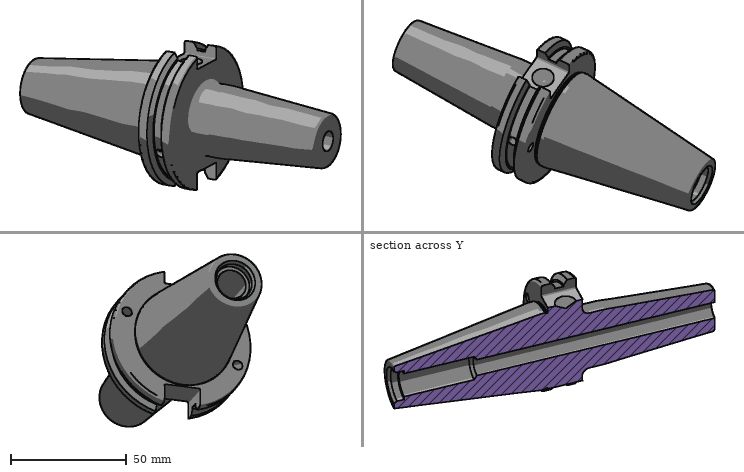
import cadquery as cq
import math

length = 148.2
taper_radius = 22.2
taper_slope = 7 / 48
taper_length = 67.9
taper_end_fillet = 0.7

land_end = 69.7
relief_radius = 21.8
relief_start = 70.5

flange_start = 71.0
flange_end = 87.2
flange_diameter = 63.3
flange_radius = flange_diameter / 2
flange_front_fillet = 1.2
flange_back_fillet = 0.9
groove_radius = 28.3
groove_start = 77.4
groove_end = 81.4
groove_wall_height = 0.9
groove_flare = 1.6

nose_radius = 16.0
nose_fillet = 3.3
nose_cone_start = 97.4
nose_cone_angle = 4.4
nose_end_fillet = 1.5

slot_width = 16.3
slot_corner_fillet = 0.7
upper_slot_floor = 24.8
lower_slot_floor = 22.4
dimple_diameter = 9.5
drill_tip_angle = 118.0

entry_diameter = 18.4
entry_depth = 1.5
counterbore_diameter = 16.3
counterbore_depth = 4.7
pilot_diameter = 13.0
pilot_depth = 37.0
through_diameter = 8.9

coolant_diameter = 4.0
coolant_angle = 20.0
coolant_entry_radius = 27.0
coolant_tilt = 26.0

taper_end_radius = taper_radius - taper_slope * taper_length
nose_end_radius = nose_radius - (length - nose_cone_start) * math.tan(math.radians(nose_cone_angle))
flange_middle = (flange_start + flange_end) / 2
groove_middle = (groove_start + groove_end) / 2
wall_top_radius = groove_radius + groove_wall_height
tip_slope = math.tan(math.radians(drill_tip_angle / 2))


def revolve_about_axis(profile):
    return profile.close().revolve(360, (0, 0, 0), (1, 0, 0))


def round_edge(body, x, radius, fillet):
    """Fillet the circular edge of the given radius in the plane at x."""
    margin = 0.01
    selector = cq.selectors.BoxSelector(
        (x - margin, -radius - margin, -radius - margin),
        (x + margin, radius + margin, radius + margin),
        boundingbox=True,
    )
    edges = body.edges(selector).edges(cq.selectors.RadiusNthSelector(-1))
    return body.newObject(edges.vals()).fillet(fillet)


def make_body():
    profile = (
        cq.Workplane("XY")
        .lineTo(0, taper_end_radius)
        .lineTo(taper_length, taper_radius)
        .lineTo(land_end, taper_radius)
        .lineTo(relief_start, relief_radius)
        .lineTo(flange_start, relief_radius)
        .lineTo(flange_start, flange_radius)
        .lineTo(groove_start - groove_flare, flange_radius)
        .lineTo(groove_start, wall_top_radius)
        .lineTo(groove_start, groove_radius)
        .lineTo(groove_end, groove_radius)
        .lineTo(groove_end, wall_top_radius)
        .lineTo(groove_end + groove_flare, flange_radius)
        .lineTo(flange_end, flange_radius)
        .lineTo(flange_end, nose_radius + nose_fillet)
        .radiusArc((flange_end + nose_fillet, nose_radius), -nose_fillet)
        .lineTo(nose_cone_start, nose_radius)
        .lineTo(length, nose_end_radius)
        .lineTo(length, 0)
    )
    body = revolve_about_axis(profile)
    body = round_edge(body, 0, taper_end_radius, taper_end_fillet)
    body = round_edge(body, flange_start, flange_radius, flange_front_fillet)
    body = round_edge(body, flange_end, flange_radius, flange_back_fillet)
    return round_edge(body, length, nose_end_radius, nose_end_fillet)


def make_bore():
    pilot_radius = pilot_diameter / 2
    through_radius = through_diameter / 2
    pilot_cone_length = (pilot_radius - through_radius) / tip_slope
    profile = (
        cq.Workplane("XY")
        .lineTo(0, entry_diameter / 2)
        .lineTo(entry_depth, counterbore_diameter / 2)
        .lineTo(counterbore_depth, counterbore_diameter / 2)
        .lineTo(counterbore_depth, pilot_radius)
        .lineTo(pilot_depth, pilot_radius)
        .lineTo(pilot_depth + pilot_cone_length, through_radius)
        .lineTo(length, through_radius)
        .lineTo(length, 0)
    )
    return revolve_about_axis(profile)


def make_slot(floor, side):
    """Drive slot across the flange; side is +1 above the axis and -1 below."""
    height = flange_radius - floor
    slot = cq.Workplane("XY").box(flange_end - flange_start, slot_width, height)
    floor_face = "<Z" if side > 0 else ">Z"
    slot = slot.faces(floor_face).edges("|X").fillet(slot_corner_fillet)
    return slot.translate((flange_middle, 0, side * (floor + height / 2)))


def make_dimple():
    """Conical drill point in the floor of the upper slot."""
    radius = dimple_diameter / 2
    cone = cq.Solid.makeCone(
        radius, 0, radius / tip_slope, cq.Vector(groove_middle, 0, upper_slot_floor), cq.Vector(0, 0, -1)
    )
    return cq.Workplane(cone)


def make_coolant_holes(turn):
    """Inclined hole from the flange face meeting a radial hole from the groove."""
    tilt = math.radians(coolant_tilt)
    run = groove_middle - flange_start
    meeting_radius = coolant_entry_radius - run * math.tan(tilt)
    overrun = coolant_diameter / 2
    direction = cq.Vector(math.cos(tilt), -math.sin(tilt), 0)
    start = cq.Vector(flange_start, coolant_entry_radius, 0) - direction * overrun
    radius = coolant_diameter / 2
    inclined = cq.Solid.makeCylinder(radius, run / math.cos(tilt) + overrun, start, direction)
    radial = cq.Solid.makeCylinder(
        radius,
        wall_top_radius - meeting_radius,
        cq.Vector(groove_middle, meeting_radius, 0),
        cq.Vector(0, 1, 0),
    )
    return cq.Workplane(inclined).union(cq.Workplane(radial)).rotate((0, 0, 0), (1, 0, 0), turn)


result = make_body().cut(make_bore())
result = result.cut(make_slot(upper_slot_floor, 1))
result = result.cut(make_slot(lower_slot_floor, -1))
result = result.cut(make_dimple())
for turn in (coolant_angle, coolant_angle + 180):
    result = result.cut(make_coolant_holes(turn))